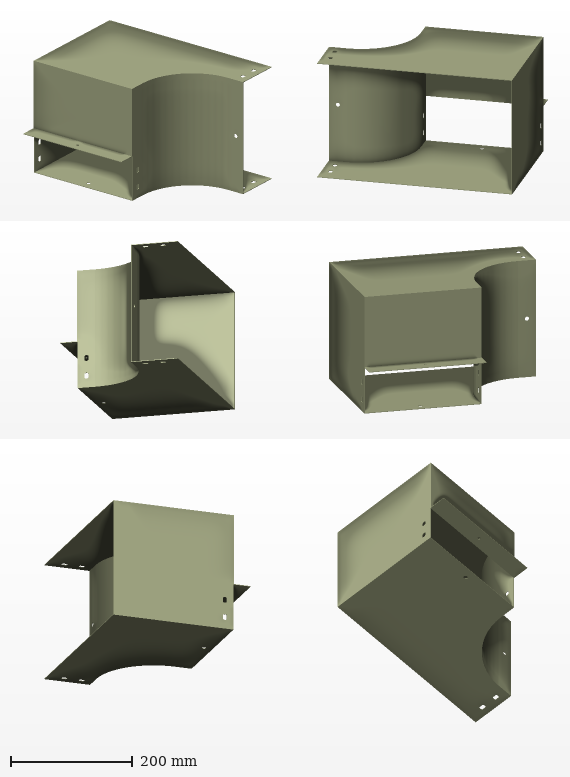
import cadquery as cq
import math

length = 330.0
height = 200.0
width = height
duct_depth = 80.0
bend_radius = 100.0
collar = 30.0
sheet = 1.0
slot_width = 7.0
slot_length = 10.0
screw_diameter = 7.0
flange_hole_diameter = 5.0
slot_spacing = 30.0
slot_edge = 20.0
hole_inset = collar / 2

arm_front = collar + bend_radius
back = arm_front + duct_depth
slot_offsets = [slot_edge, slot_edge + slot_spacing]


def box(x0, x1, y0, y1, z0, z1):
    """Axis-aligned box between two corners."""
    return cq.Workplane("XY").box(x1 - x0, y1 - y0, z1 - z0, centered=False).translate((x0, y0, z0))


def plan_profile():
    """Outline of the elbow seen from above."""
    diagonal = bend_radius * math.sqrt(0.5)
    arc_center_x = width + bend_radius
    arc_middle = (arc_center_x - diagonal, collar + diagonal)
    return (
        cq.Workplane("XY")
        .lineTo(width, 0)
        .lineTo(width, collar)
        .threePointArc(arc_middle, (arc_center_x, arm_front))
        .lineTo(length, arm_front)
        .lineTo(length, back)
        .lineTo(0, back)
        .close()
    )


def shell():
    """Top, base, left wall and curved inner wall; front, right and back are open."""
    body = plan_profile().extrude(height)
    cavity = plan_profile().offset2D(-sheet).extrude(height - 2 * sheet).translate((0, 0, sheet))
    inner_top = height - sheet
    front_mouth = box(sheet, width - sheet, 0, hole_inset, sheet, inner_top)
    right_mouth = box(length - hole_inset, length, arm_front + sheet, back, sheet, inner_top)
    back_opening = box(sheet, length, back - hole_inset, back, sheet, inner_top)
    return body.cut(cavity).cut(front_mouth).cut(right_mouth).cut(back_opening)


def front_panel():
    """Plate closing the upper front, with a flange bent outward above the mouth."""
    plate = box(0, width, -sheet, 0, duct_depth - sheet, height)
    flange = box(0, width, -collar, 0, duct_depth - sheet, duct_depth)
    hole = (
        cq.Workplane("XY")
        .center(width / 2, -hole_inset)
        .circle(flange_hole_diameter / 2)
        .extrude(height)
    )
    return plate.union(flange).cut(hole)


def slot_cutter(plane, points, depth):
    """Flat-sided round slots: each is a circle trimmed to the slot width."""
    circles = cq.Workplane(plane).pushPoints(points).circle(slot_length / 2).extrude(depth)
    strips = cq.Workplane(plane).pushPoints(points).rect(slot_width, slot_length).extrude(depth)
    return circles.intersect(strips)


def side_wall_slots():
    """Paired slots through the left and right walls of the front arm."""
    points = [(hole_inset, offset) for offset in slot_offsets]
    return slot_cutter("YZ", points, length)


def top_and_base_slots():
    """Paired slots through the top and base of the right arm."""
    points = [(length - hole_inset, arm_front + offset) for offset in slot_offsets]
    return slot_cutter("XY", points, height)


def base_hole():
    """Screw hole in the base at the front mouth."""
    return (
        cq.Workplane("XY")
        .center(width / 2, hole_inset)
        .circle(screw_diameter / 2)
        .extrude(duct_depth / 2)
    )


def right_arm_hole():
    """Screw hole in the front wall of the right arm."""
    return (
        cq.Workplane("XZ", origin=(0, back, 0))
        .center(length - hole_inset, height / 2)
        .circle(screw_diameter / 2)
        .extrude(back)
    )


result = shell().union(front_panel())
for cutter in (side_wall_slots(), top_and_base_slots(), base_hole(), right_arm_hole()):
    result = result.cut(cutter)